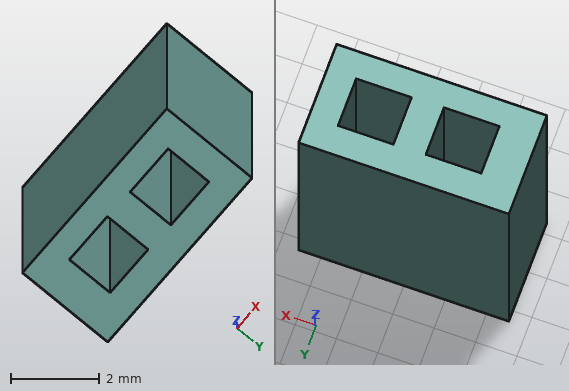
import cadquery as cq

width = 5.08
depth = 2.54
height = 7

passage_width = 1.34
passage_depth = 1.21
left_passage_centre = (-0.945, -0.05)
right_passage_centre = (1.17, -0.03)

block = cq.Workplane("XY").box(width, depth, height)

passages = (
    cq.Workplane("XY")
    .pushPoints([left_passage_centre, right_passage_centre])
    .rect(passage_width, passage_depth)
    .extrude(height, both=True)
)

result = block.cut(passages)